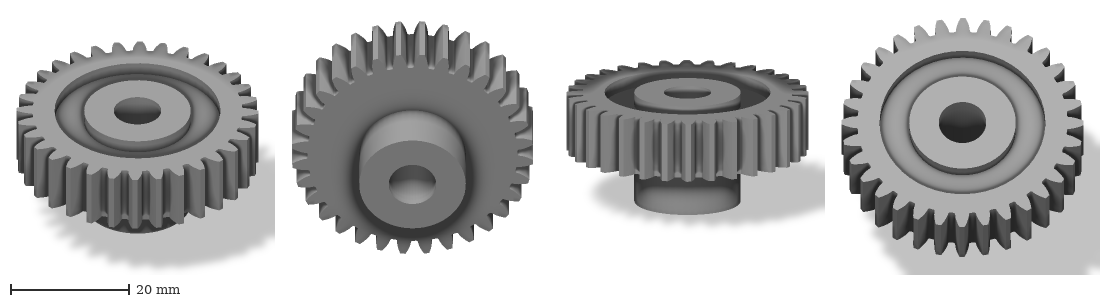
import cadquery as cq
import math

outer_width = 40.7
total_height = 19.0
face_width = 10.0
hub_diameter = 18.0
bore_diameter = 8.0
recess_diameter = 28.0
recess_depth = 2.25

tooth_count = 32
pressure_angle = math.radians(20)
addendum_factor = 1.0
dedendum_factor = 1.25
root_fillet = 0.33
flank_points = 6


def involute(angle):
    return math.tan(angle) - angle


pitch_angle = 2 * math.pi / tooth_count
tip_diameter_factor = tooth_count + 2 * addendum_factor
tip_pressure_angle = math.acos(tooth_count * math.cos(pressure_angle) / tip_diameter_factor)
base_half_angle = pitch_angle / 4 + involute(pressure_angle)
tip_half_angle = base_half_angle - involute(tip_pressure_angle)

tip_radius = outer_width / 2 / math.cos(pitch_angle / 2 - tip_half_angle)
module = 2 * tip_radius / tip_diameter_factor
base_radius = module * tooth_count / 2 * math.cos(pressure_angle)
root_radius = tip_radius - (addendum_factor + dedendum_factor) * module

fillet_centre_radius = root_radius + root_fillet
fillet_turn = math.asin(root_fillet / fillet_centre_radius)
fillet_centre_angle = base_half_angle + fillet_turn
flank_foot_radius = fillet_centre_radius * math.cos(fillet_turn)


def polar(radius, angle):
    return (radius * math.cos(angle), radius * math.sin(angle))


def flank(centre, side):
    """Involute points from base circle to tip; side is -1 or 1 about the tooth centre line."""
    points = []
    for i in range(flank_points):
        roll = math.tan(tip_pressure_angle) * i / (flank_points - 1)
        half_angle = base_half_angle - (roll - math.atan(roll))
        points.append(polar(base_radius * math.hypot(1, roll), centre + side * half_angle))
    return points


def fillet_middle(centre, side):
    """Point halfway along the root fillet on one side of a tooth."""
    centre_x, centre_y = polar(fillet_centre_radius, centre + side * fillet_centre_angle)
    towards_flank = base_half_angle - math.pi / 2
    towards_root = fillet_centre_angle - math.pi
    offset_x, offset_y = polar(root_fillet, centre + side * (towards_flank + towards_root) / 2)
    return (centre_x + offset_x, centre_y + offset_y)


def add_tooth(outline, centre):
    """Extend the outline over one tooth and along the root of the gap that follows it."""
    rising = flank(centre, -1)
    falling = flank(centre, 1)[::-1]
    next_tooth = centre + pitch_angle
    return (
        outline
        .threePointArc(fillet_middle(centre, -1), polar(flank_foot_radius, centre - base_half_angle))
        .lineTo(*rising[0])
        .spline(rising[1:], includeCurrent=True)
        .threePointArc(polar(tip_radius, centre), falling[0])
        .spline(falling[1:], includeCurrent=True)
        .lineTo(*polar(flank_foot_radius, centre + base_half_angle))
        .threePointArc(fillet_middle(centre, 1), polar(root_radius, centre + fillet_centre_angle))
        .threePointArc(
            polar(root_radius, centre + pitch_angle / 2),
            polar(root_radius, next_tooth - fillet_centre_angle),
        )
    )


def make_toothed_rim():
    first_tooth = pitch_angle / 2
    start = polar(root_radius, first_tooth - fillet_centre_angle)
    outline = cq.Workplane("XY").moveTo(*start)
    for i in range(tooth_count):
        outline = add_tooth(outline, first_tooth + i * pitch_angle)
    return outline.close().extrude(face_width)


def make_recess():
    """Ring cut into the top face, leaving a central boss as wide as the hub."""
    return (
        cq.Workplane("XY")
        .workplane(offset=face_width - recess_depth)
        .circle(recess_diameter / 2)
        .circle(hub_diameter / 2)
        .extrude(recess_depth)
    )


def make_hub():
    """Plain cylinder below the toothed rim."""
    return cq.Workplane("XY").circle(hub_diameter / 2).extrude(face_width - total_height)


gear = make_toothed_rim().cut(make_recess()).union(make_hub())
result = gear.faces(">Z").workplane(origin=(0, 0, 0)).circle(bore_diameter / 2).cutThruAll()